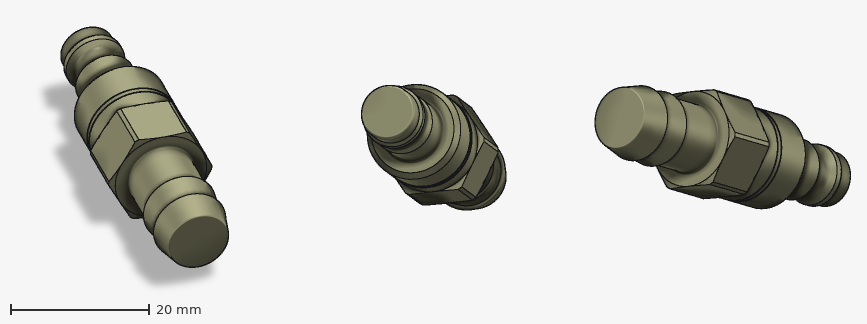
import cadquery as cq
import math

total_length = 50.0

nose_radius = 8.1 / 2
nose_rounding = 0.5
nose_end = 2.6
collar_radius = 9.0 / 2
collar_start = nose_end + collar_radius - nose_radius
collar_end = 4.1
neck_radius = 6.7 / 2
neck_start = 5.6
neck_end = 6.7
neck_fillet = 1.15
neck_cone_angle = math.radians(40)
stem_start = 8.3
stem_fillet = 0.5

body_start = 14.1
body_radius = 14.0 / 2
body_chamfer = 0.8
groove_start = 20.5
groove_end = 21.4
groove_radius = 13.8 / 2

hex_start = 24.45
hex_end = 33.05
hex_across_flats = 14.0
hex_corner_radius = 15.8 / 2
hex_rotation = 3.0
hex_front_bevel = 0.25
hex_rear_bevel = 0.3

hose_radius = 10.05 / 2
hose_fillet = 0.4
barb_face_radius = 10.45 / 2
barb_rounding = 0.3
barb_crest_radius = barb_face_radius + barb_rounding
first_barb_start = 41.0
second_barb_start = 45.5
first_barb_end_radius = 9.9 / 2
tip_radius = 9.2 / 2
tip_rounding = 0.3

HALF = math.sqrt(0.5)


def quarter_arc(profile, center, radius, direction, end):
    """Add a quarter circle whose middle lies diagonally from its center."""
    middle = (
        center[0] + direction[0] * radius * HALF,
        center[1] + direction[1] * radius * HALF,
    )
    return profile.threePointArc(middle, end)


def neck_fillet_points(tangent_x, side):
    """Middle and outer end of a neck fillet; side is -1 towards the nose, +1 towards the stem."""
    return [
        (
            tangent_x + side * neck_fillet * math.sin(angle),
            neck_radius + neck_fillet * (1 - math.cos(angle)),
        )
        for angle in (neck_cone_angle / 2, neck_cone_angle)
    ]


def turned_body():
    """Revolve the outline of everything except the hexagon."""
    front_middle, front_outer = neck_fillet_points(neck_start, -1)
    rear_middle, rear_outer = neck_fillet_points(neck_end, 1)

    profile = cq.Workplane("XY").moveTo(0, 0).lineTo(0, nose_radius - nose_rounding)
    profile = quarter_arc(
        profile, (nose_rounding, nose_radius - nose_rounding), nose_rounding,
        (-1, 1), (nose_rounding, nose_radius),
    )
    profile = (
        profile.lineTo(nose_end, nose_radius)
        .lineTo(collar_start, collar_radius)
        .lineTo(collar_end, collar_radius)
        .lineTo(*front_outer)
        .threePointArc(front_middle, (neck_start, neck_radius))
        .lineTo(neck_end, neck_radius)
        .threePointArc(rear_middle, rear_outer)
        .lineTo(stem_start, collar_radius)
        .lineTo(body_start - stem_fillet, collar_radius)
    )
    profile = quarter_arc(
        profile, (body_start - stem_fillet, collar_radius + stem_fillet), stem_fillet,
        (1, -1), (body_start, collar_radius + stem_fillet),
    )

    profile = (
        profile.lineTo(body_start, body_radius - body_chamfer)
        .lineTo(body_start + body_chamfer, body_radius)
        .lineTo(groove_start, body_radius)
        .lineTo(groove_start, groove_radius)
        .lineTo(groove_end, groove_radius)
        .lineTo(groove_end, body_radius)
        .lineTo(hex_start, body_radius)
        .lineTo(hex_start, hose_radius + hose_fillet)
        .lineTo(hex_end, hose_radius + hose_fillet)
    )

    profile = quarter_arc(
        profile, (hex_end + hose_fillet, hose_radius + hose_fillet), hose_fillet,
        (-1, -1), (hex_end + hose_fillet, hose_radius),
    )
    profile = profile.lineTo(first_barb_start, hose_radius)
    profile = add_barb(profile, first_barb_start, second_barb_start, first_barb_end_radius)
    profile = add_barb(profile, second_barb_start, total_length - tip_rounding, tip_radius)
    profile = quarter_arc(
        profile, (total_length - tip_rounding, tip_radius - tip_rounding), tip_rounding,
        (1, 1), (total_length, tip_radius - tip_rounding),
    )
    return profile.lineTo(total_length, 0).close().revolve(360, (0, 0, 0), (1, 0, 0))


def add_barb(profile, start, end, end_radius):
    """Add a steep face, a rounded crest and a cone narrowing to end_radius."""
    profile = profile.lineTo(start, barb_face_radius)
    profile = quarter_arc(
        profile, (start + barb_rounding, barb_face_radius), barb_rounding,
        (-1, 1), (start + barb_rounding, barb_crest_radius),
    )
    return profile.lineTo(end, end_radius)


def hexagon():
    """Hexagon with its corners turned round and both ends bevelled."""
    sharp_corner_diameter = hex_across_flats / math.cos(math.pi / 6)
    prism = (
        cq.Workplane("YZ", origin=(hex_start, 0, 0))
        .polygon(6, sharp_corner_diameter)
        .extrude(hex_end - hex_start)
        .rotate((0, 0, 0), (1, 0, 0), -hex_rotation)
    )
    envelope = (
        cq.Workplane("XY")
        .moveTo(hex_start, 0)
        .lineTo(hex_start, body_radius)
        .lineTo(hex_start + hex_front_bevel, hex_corner_radius)
        .lineTo(hex_end - hex_rear_bevel, hex_corner_radius)
        .lineTo(hex_end, body_radius)
        .lineTo(hex_end, 0)
        .close()
        .revolve(360, (0, 0, 0), (1, 0, 0))
    )
    return prism.intersect(envelope)


result = turned_body().union(hexagon())